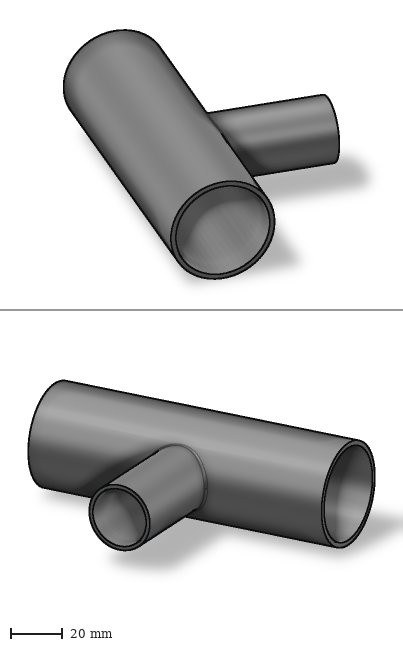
import cadquery as cq

run_length = 130.0
run_outer_diameter = 42.4
run_bore_diameter = 38.4

branch_reach = 65.0
branch_outer_diameter = 26.9
branch_bore_diameter = 23.7

joint_fillet_radius = 1.0


def run_cylinder(diameter):
    """Cylinder over the full length of the main tube."""
    return cq.Workplane("YZ").circle(diameter / 2).extrude(run_length / 2, both=True)


def branch_cylinder(diameter):
    """Cylinder from the main tube axis to the open end of the branch."""
    return cq.Workplane("XZ").circle(diameter / 2).extrude(-branch_reach)


def outer_body():
    """Solid tee with its joint rounded."""
    tee = run_cylinder(run_outer_diameter).union(branch_cylinder(branch_outer_diameter))
    half_width = branch_outer_diameter / 2
    joint_zone = cq.selectors.BoxSelector(
        (-half_width, 0, -half_width),
        (half_width, run_outer_diameter / 2, half_width),
    )
    return tee.edges(joint_zone).fillet(joint_fillet_radius)


result = (
    outer_body()
    .cut(run_cylinder(run_bore_diameter))
    .cut(branch_cylinder(branch_bore_diameter))
)